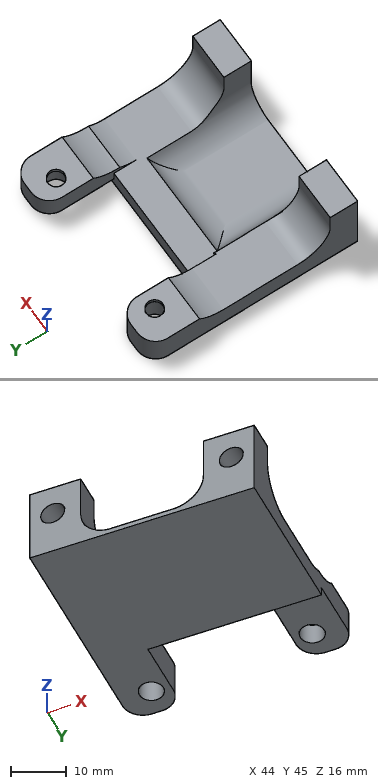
import cadquery as cq
import math

width = 44.0
length = 45.0
arm_width = 10.0
right_arm_x = width - arm_width
gap = right_arm_x - arm_width

tip_height = 7.05
tip_radius = 4.0
right_tip_relief = 1.8
post_depth = 5.95
left_post_height = 16.0
right_post_height = 15.85
left_floor = 5.05
web_height = 4.05
web_end = 29.75
left_post_fillet = 7.0
right_post_fillet = 7.55

ramp_top_y = 34.2
ramp_foot_y = 29.02
step_top_y = 28.5
step_foot_y = 24.98

pocket_floor = 1.1
pocket_radius = 6.0
pocket_end = 23.95
side_arc_overlap = 0.022

tip_hole_diameter = 3.5
tip_bore_diameter = 4.7
tip_lip = 0.8
tip_hole_y = 39.7
left_tip_hole_x = 6.25
right_tip_hole_x = 37.8
post_hole_diameter = 4.7
post_hole_inset = 4.5
post_hole_z = 9.55
post_hole_depth = 4.5


def add_ramp(outline, top, foot):
    """Continue the (y, z) outline down an arc that is level at its foot."""
    run = top[0] - foot[0]
    rise = top[1] - foot[1]
    radius = (run**2 + rise**2) / (2 * rise)
    half_angle = math.asin(run / radius) / 2
    middle = (
        foot[0] + radius * math.sin(half_angle),
        foot[1] + radius * (1 - math.cos(half_angle)),
    )
    return outline.threePointArc(middle, foot)


def make_arm(x_start, thickness, post_height, floor, fillet, stepped):
    """Side profile of an arm and its post, extruded along X."""
    outline = cq.Workplane("YZ", origin=(x_start, 0, 0)).moveTo(0, 0)
    outline = outline.lineTo(length, 0).lineTo(length, tip_height).lineTo(ramp_top_y, tip_height)
    outline = add_ramp(outline, (ramp_top_y, tip_height), (ramp_foot_y, left_floor))
    if stepped:
        outline = outline.lineTo(step_top_y, left_floor)
        outline = add_ramp(outline, (step_top_y, left_floor), (step_foot_y, floor))
    outline = outline.lineTo(post_depth + fillet, floor)
    outline = outline.radiusArc((post_depth, floor + fillet), fillet)
    outline = outline.lineTo(post_depth, post_height).lineTo(0, post_height).close()
    return outline.extrude(thickness)


def make_trough():
    """Space between the posts, rounded along both lower edges."""
    return (
        cq.Workplane("XY", origin=(arm_width, 0, pocket_floor - side_arc_overlap))
        .box(gap, length, left_post_height, centered=False)
        .edges("|Y and <Z")
        .fillet(pocket_radius)
    )


def make_pocket_limit():
    """Block that gives the pocket its flat floor and arced back end."""
    return (
        cq.Workplane("XY", origin=(0, 0, pocket_floor))
        .box(width, pocket_end, left_post_height, centered=False)
        .edges("|X and >Y and <Z")
        .fillet(pocket_radius)
    )


def make_side(x_start, root_x, post_height, floor, fillet, stepped):
    """An arm with rounded tip, plus the root that carries the trough's arc beside it."""
    arm = make_arm(x_start, arm_width, post_height, floor, fillet, stepped)
    arm = arm.edges("|Z and >Y").fillet(tip_radius)
    root = make_arm(root_x, pocket_radius, post_height, floor, fillet, stepped)
    root_zone = cq.Workplane("XY").box(width, pocket_end, left_post_height, centered=False)
    root_zone = root_zone.cut(make_trough())
    above_web = cq.Workplane("XY", origin=(0, 0, web_height)).box(
        width, length, left_post_height, centered=False
    )
    return arm.union(root.intersect(root_zone).intersect(above_web))


left_side = make_side(0, arm_width, left_post_height, left_floor, left_post_fillet, False)
right_side = make_side(
    right_arm_x, right_arm_x - pocket_radius, right_post_height, web_height, right_post_fillet, True
)

pocket = make_trough().intersect(make_pocket_limit())
web = cq.Workplane("XY").box(width, web_end, web_height, centered=False).cut(pocket)
result = left_side.union(right_side).union(web)

relief = cq.Workplane("XY", origin=(right_arm_x, web_end, 0)).box(
    arm_width, length - web_end, right_tip_relief, centered=False
)
result = result.cut(relief)

for x in (left_tip_hole_x, right_tip_hole_x):
    axis = cq.Workplane("XY").center(x, tip_hole_y)
    hole = axis.circle(tip_hole_diameter / 2).extrude(tip_height)
    bore = axis.circle(tip_bore_diameter / 2).extrude(tip_height - tip_lip)
    result = result.cut(hole).cut(bore)

for x in (post_hole_inset, width - post_hole_inset):
    hole = cq.Workplane("XZ").center(x, post_hole_z).circle(post_hole_diameter / 2)
    result = result.cut(hole.extrude(-post_hole_depth))